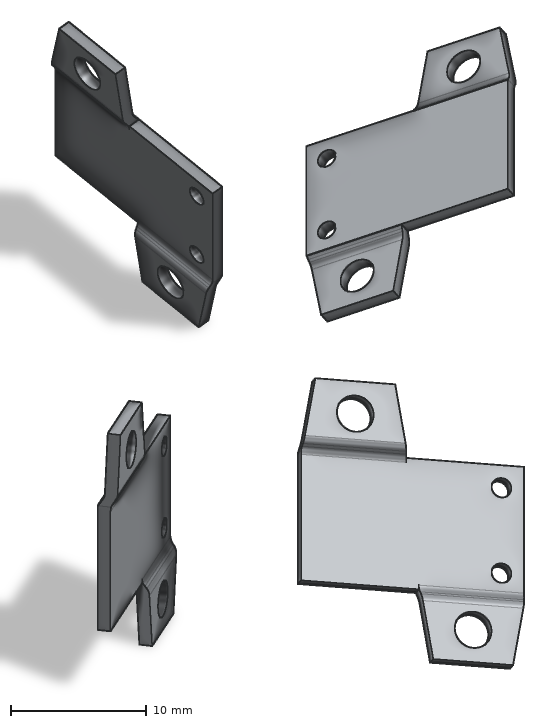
import cadquery as cq
import math

plate_width = 17.0
plate_height = 10.08
total_height = 21.0
total_depth = 1.5
thickness = 0.99
small_hole_diameter = 1.5
small_hole_x = 6.78
small_hole_z = 3.3

tab_base_width = 8.02
tab_tip_width = 6.1
tab_hole_diameter = 2.8
tab_hole_z = 8.0

bend_angle = math.radians(36)
bend_start_z = 4.7
bend_end_z = 6.03

plate_edge_z = plate_height / 2
tip_z = total_height / 2
back_y = total_depth / 2
joggle_offset = total_depth - thickness
tab_center_x = (tab_base_width - plate_width) / 2

bend_length = bend_end_z - bend_start_z
bend_radius = (bend_length * math.tan(bend_angle) - joggle_offset) / (2 / math.cos(bend_angle) - 2)


def bend_reach(angle):
    """Shift (y, z) along a bend that has turned by the given angle."""
    return bend_radius * (1 - math.cos(angle)), bend_radius * math.sin(angle)


def through_hole(x, z, diameter):
    return (
        cq.Workplane("XZ", origin=(0, back_y, 0))
        .center(x, z)
        .circle(diameter / 2)
        .extrude(total_depth)
    )


def make_plate():
    plate_center_y = back_y - thickness / 2
    plate = cq.Workplane("XY").box(plate_width, thickness, plate_height)
    return plate.translate((0, plate_center_y, 0))


def make_tab():
    """Upper tab: joggled strip trimmed to its tapered outline."""
    tab_back_y = back_y - joggle_offset
    plate_front_y = back_y - thickness
    half_y, half_z = bend_reach(bend_angle / 2)
    full_y, full_z = bend_reach(bend_angle)
    strip = (
        cq.Workplane("YZ", origin=(-plate_width / 2, 0, 0))
        .moveTo(back_y, bend_start_z)
        .threePointArc(
            (back_y - half_y, bend_start_z + half_z), (back_y - full_y, bend_start_z + full_z)
        )
        .lineTo(tab_back_y + full_y, bend_end_z - full_z)
        .threePointArc((tab_back_y + half_y, bend_end_z - half_z), (tab_back_y, bend_end_z))
        .lineTo(tab_back_y, tip_z)
        .lineTo(-back_y, tip_z)
        .lineTo(-back_y, bend_end_z)
        .threePointArc(
            (-back_y + half_y, bend_end_z - half_z), (-back_y + full_y, bend_end_z - full_z)
        )
        .lineTo(plate_front_y - full_y, bend_start_z + full_z)
        .threePointArc(
            (plate_front_y - half_y, bend_start_z + half_z), (plate_front_y, bend_start_z)
        )
        .close()
        .extrude(tab_base_width)
    )
    half_base = tab_base_width / 2
    half_tip = tab_tip_width / 2
    outline = (
        cq.Workplane("XZ", origin=(tab_center_x, back_y, 0))
        .polyline([
            (-half_base, bend_start_z),
            (half_base, bend_start_z),
            (half_base, plate_edge_z),
            (half_tip, tip_z),
            (-half_tip, tip_z),
            (-half_base, plate_edge_z),
        ])
        .close()
        .extrude(total_depth)
    )
    hole = through_hole(tab_center_x, tab_hole_z, tab_hole_diameter)
    return strip.intersect(outline).cut(hole)


upper_tab = make_tab()
lower_tab = upper_tab.rotate((0, 0, 0), (0, 1, 0), 180)
result = make_plate().union(upper_tab).union(lower_tab)

for hole_z in (-small_hole_z, small_hole_z):
    result = result.cut(through_hole(small_hole_x, hole_z, small_hole_diameter))